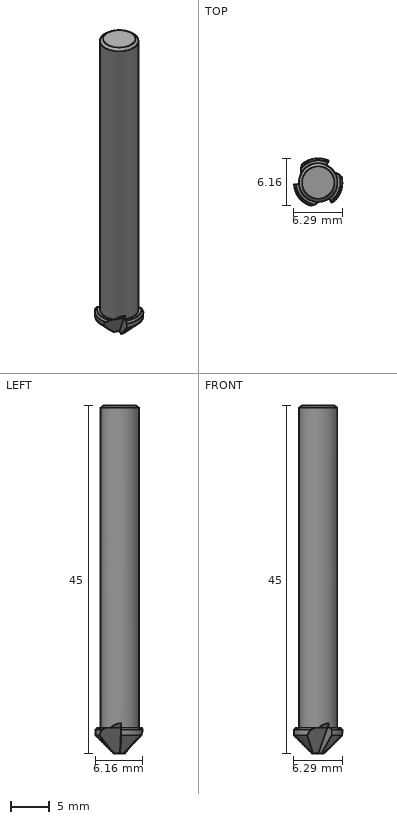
import cadquery as cq
import math

total_length = 45.0
flute_count = 3

shank_diameter = 5.0
shank_radius = shank_diameter / 2
shank_chamfer_width = 0.4
shank_chamfer_height = 0.3

head_radius = 3.15
tip_radius = 0.75
cone_height = head_radius - tip_radius
land_height = 0.68
head_chamfer = 0.25
head_height = cone_height + land_height + head_chamfer

cutting_face_angle = 184.0
floor_tip_distance = 0.05
floor_tilt = 32.0
flute_reach = 2 * head_radius
flute_bottom = -0.45


def flute_cutter(angle):
    """Wedge removed ahead of the cutting edge at the given angle about Z."""
    slope = math.tan(math.radians(floor_tilt))
    bottom_distance = floor_tip_distance + flute_bottom * slope
    top_height = (flute_reach - floor_tip_distance) / slope
    profile = [
        (bottom_distance, flute_bottom),
        (flute_reach, flute_bottom),
        (flute_reach, top_height),
    ]
    wedge = cq.Workplane("XZ").polyline(profile).close().extrude(flute_reach)
    return wedge.rotate((0, 0, 0), (0, 0, 1), angle)


def cut_flutes(body):
    for index in range(flute_count):
        body = body.cut(flute_cutter(cutting_face_angle + index * 360 / flute_count))
    return body


def make_head():
    """Conical cutting head with a cylindrical land and a chamfered back edge."""
    profile = [
        (0, 0),
        (tip_radius, 0),
        (head_radius, cone_height),
        (head_radius, cone_height + land_height),
        (head_radius - head_chamfer, head_height),
        (0, head_height),
    ]
    blank = cq.Workplane("XZ").polyline(profile).close().revolve(360, (0, 0), (0, 1))
    return cut_flutes(blank)


def make_shank():
    """Plain shank standing on the head, with the flute run-outs at its foot."""
    profile = [
        (0, head_height),
        (shank_radius, head_height),
        (shank_radius, total_length - shank_chamfer_height),
        (shank_radius - shank_chamfer_width, total_length),
        (0, total_length),
    ]
    blank = cq.Workplane("XZ").polyline(profile).close().revolve(360, (0, 0), (0, 1))
    return cut_flutes(blank)


head = make_head()
shank = make_shank()

result = cq.Compound.makeCompound([head.val(), shank.val()])